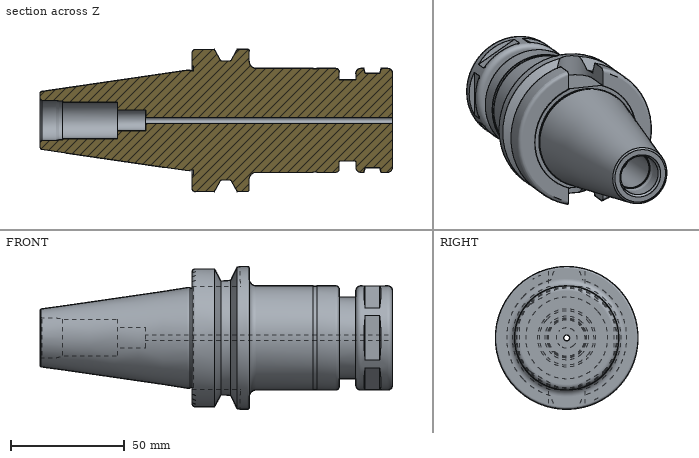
import cadquery as cq
import math

overall_length = 155.4
gauge_x = 65.1
neck_end_x = 66.2
flange_front_x = 67.0
flange_back_x = 92.3
groove_x = (77.0, 79.7, 84.0, 86.9)
body_groove_x = (120.3, 122.1)
body_end_x = 132.0
nut_start_x = 139.1

taper_ratio = 7 / 24
gauge_radius = 22.2
tip_radius = gauge_radius - gauge_x * taper_ratio / 2
flange_radius = 63.0 / 2
flange_groove_radius = 26.4
undercut_radius = 21.9
relief_radius = 24.0
relief_depth = 0.6
body_radius = 46.0 / 2
body_groove_depth = 0.2
stem_radius = 36.0 / 2
nut_radius = body_radius

tip_chamfer_length = 0.5
tip_chamfer_depth = 0.8
flange_fillet = 1.5
flange_back_fillet = 1.0
body_root_fillet = 3.0
body_end_fillet = 1.7
nut_fillet = 2.3

slot_width = 16.2
slot_floor = 22.7
slot_end_x = 88.3

flat_count = 6
flat_distance = 20.8
flat_x = (143.3, 149.7)
flat_draft = 0.6

mouth_radius = 9.6
mouth_chamfer_length = 1.0
pilot_radius = 17.5 / 2
pilot_end_x = 7.3
lead_in_end_x = 8.5
land_radius = 17.0 / 2
land_end_x = 10.1
thread_radius = 16.0 / 2
thread_end_x = 34.2
drill_radius = 9.0 / 2
drill_end_x = 46.6
through_radius = 2.5 / 2


def corner_arc(profile, center, radius, start_angle, end_angle):
    """Add a straight run to a corner and its round, given by center, radius and angles."""
    def at(angle):
        rad = math.radians(angle)
        return (center[0] + radius * math.cos(rad), center[1] + radius * math.sin(rad))

    start = at(start_angle)
    middle = at((start_angle + end_angle) / 2)
    return profile.lineTo(*start).threePointArc(middle, at(end_angle))


def make_holder():
    """Revolve the taper, flange, body, stem and nut as one profile."""
    p = cq.Workplane("XY").moveTo(0, 0)
    p = p.lineTo(0, tip_radius - tip_chamfer_depth)
    p = p.lineTo(tip_chamfer_length, tip_radius + tip_chamfer_length * taper_ratio / 2)
    p = p.lineTo(gauge_x, gauge_radius)
    p = p.lineTo(neck_end_x, gauge_radius)
    p = p.lineTo(neck_end_x, undercut_radius)
    p = p.lineTo(flange_front_x + relief_depth, undercut_radius)
    p = p.lineTo(flange_front_x + relief_depth, relief_radius)
    p = p.lineTo(flange_front_x, relief_radius)
    p = corner_arc(p, (flange_front_x + flange_fillet, flange_radius - flange_fillet), flange_fillet, 180, 90)
    p = p.lineTo(groove_x[0], flange_radius)
    p = p.lineTo(groove_x[1], flange_groove_radius)
    p = p.lineTo(groove_x[2], flange_groove_radius)
    p = p.lineTo(groove_x[3], flange_radius)
    p = corner_arc(p, (flange_back_x - flange_back_fillet, flange_radius - flange_back_fillet),
                   flange_back_fillet, 90, 0)
    p = corner_arc(p, (flange_back_x + body_root_fillet, body_radius + body_root_fillet),
                   body_root_fillet, 180, 270)
    p = p.lineTo(body_groove_x[0], body_radius)
    p = p.lineTo(body_groove_x[0], body_radius - body_groove_depth)
    p = p.lineTo(body_groove_x[1], body_radius - body_groove_depth)
    p = p.lineTo(body_groove_x[1], body_radius)
    p = corner_arc(p, (body_end_x - body_end_fillet, body_radius - body_end_fillet), body_end_fillet, 90, 0)
    p = p.lineTo(body_end_x, stem_radius)
    p = p.lineTo(nut_start_x, stem_radius)
    p = corner_arc(p, (nut_start_x + nut_fillet, nut_radius - nut_fillet), nut_fillet, 180, 90)
    p = corner_arc(p, (overall_length - nut_fillet, nut_radius - nut_fillet), nut_fillet, 90, 0)
    p = p.lineTo(overall_length, 0).close()
    return p.revolve(360, (0, 0, 0), (1, 0, 0))


def make_drive_slot():
    """Round-ended key slot that opens through the front of the flange, on the +Z side."""
    half_width = slot_width / 2
    arc_x = slot_end_x - half_width
    return (
        cq.Workplane("XY", origin=(0, 0, slot_floor))
        .moveTo(neck_end_x, -half_width)
        .lineTo(arc_x, -half_width)
        .threePointArc((slot_end_x, 0), (arc_x, half_width))
        .lineTo(neck_end_x, half_width)
        .close()
        .extrude(flange_radius)
    )


def make_flat():
    """Wrench pocket with flared end walls, on the -Y side of the nut."""
    depth = nut_radius - flat_distance
    return (
        cq.Workplane("XY", origin=(0, 0, -nut_radius))
        .moveTo(flat_x[0], -flat_distance)
        .lineTo(flat_x[1], -flat_distance)
        .lineTo(flat_x[1] + flat_draft, -flat_distance - depth)
        .lineTo(flat_x[0] - flat_draft, -flat_distance - depth)
        .close()
        .extrude(2 * nut_radius)
    )


def make_bore():
    """Stepped bore with a flared mouth and a small hole through the whole part."""
    return (
        cq.Workplane("XY")
        .moveTo(0, 0)
        .lineTo(0, mouth_radius)
        .lineTo(mouth_chamfer_length, pilot_radius)
        .lineTo(pilot_end_x, pilot_radius)
        .lineTo(lead_in_end_x, land_radius)
        .lineTo(land_end_x, land_radius)
        .lineTo(land_end_x, thread_radius)
        .lineTo(thread_end_x, thread_radius)
        .lineTo(thread_end_x, drill_radius)
        .lineTo(drill_end_x, drill_radius)
        .lineTo(drill_end_x, through_radius)
        .lineTo(overall_length, through_radius)
        .lineTo(overall_length, 0)
        .close()
        .revolve(360, (0, 0, 0), (1, 0, 0))
    )


result = make_holder()
slot = make_drive_slot()
for turn in (0, 180):
    result = result.cut(slot.rotate((0, 0, 0), (1, 0, 0), turn))
flat = make_flat()
for index in range(flat_count):
    result = result.cut(flat.rotate((0, 0, 0), (1, 0, 0), index * 360 / flat_count))
result = result.cut(make_bore())